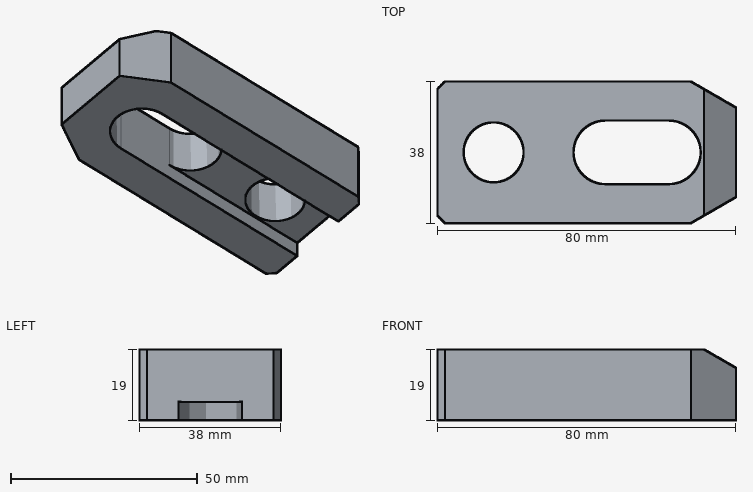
import cadquery as cq
import math

length = 80.0
width = 38.0
height = 19.0

rear_chamfer = 2.0
nose_width = 24.0
nose_drop = 5.0
taper_angle = math.radians(30)

hole_diameter = 16.0
hole_x = 15.0
slot_length = 34.0
slot_width = 17.0
slot_start_x = 36.5
groove_depth = 5.0


def make_block():
    """Block with chamfered rear corners and sides tapering to the nose."""
    half_width = width / 2
    half_nose = nose_width / 2
    taper_start_x = length - (half_width - half_nose) / math.tan(taper_angle)
    return (
        cq.Workplane("XY")
        .moveTo(0, half_width - rear_chamfer)
        .lineTo(rear_chamfer, half_width)
        .lineTo(taper_start_x, half_width)
        .lineTo(length, half_nose)
        .lineTo(length, -half_nose)
        .lineTo(taper_start_x, -half_width)
        .lineTo(rear_chamfer, -half_width)
        .lineTo(0, -half_width + rear_chamfer)
        .close()
        .extrude(height)
    )


def make_nose_bevel():
    """Wedge removed from the top of the nose."""
    bevel_start_x = length - nose_drop / math.tan(taper_angle)
    return (
        cq.Workplane("XZ")
        .moveTo(bevel_start_x, height)
        .lineTo(length, height)
        .lineTo(length, height - nose_drop)
        .close()
        .extrude(width / 2, both=True)
    )


def make_hole():
    """Round hole through the full height."""
    return cq.Workplane("XY").center(hole_x, 0).circle(hole_diameter / 2).extrude(height)


def make_slot():
    """Round-ended slot through the full height."""
    slot_center_x = slot_start_x + slot_length / 2
    return cq.Workplane("XY").center(slot_center_x, 0).slot2D(slot_length, slot_width).extrude(height)


def make_groove():
    """Underside groove from the rear face, opening into the slot at its full width."""
    groove_length = slot_start_x + slot_width / 2
    return cq.Workplane("XY").box(groove_length, slot_width, groove_depth, centered=(False, True, False))


result = make_block()
for cutter in (make_nose_bevel(), make_hole(), make_slot(), make_groove()):
    result = result.cut(cutter)